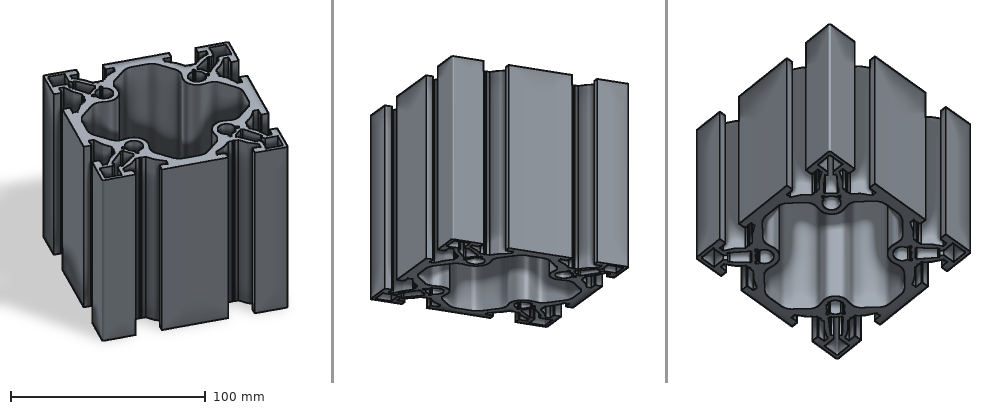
import cadquery as cq
import math

side = 100.0
length = 100.0
half_side = side / 2

corner_radius = 1.0
face_relief = 0.1
middle_strip_half_width = 8.1
middle_strip_relief = 0.2

slot_offset = 25.0
opening_half_width = 7.1
lip_thickness = 4.4
lip_chamfer = 0.5
undercut_half_width = 11.6
undercut_depth = 6.9
bend_half_width = 6.2
bend_depth = 10.2
floor_half_width = 2.7
floor_depth = 13.8
centre_groove_half_width = 0.7
centre_groove_depth = 0.4

cavity_half_width = 43.5
cavity_diagonal_reach = 50.8
cavity_corner_radius = 8.0
boss_radius = 7.6
boss_flank_angle = 54.0
boss_blend_radius = 6.5

bore_offset = slot_offset
bore_radius = 4.7
notch_half_width = 0.8
notch_shoulder = 5.8
notch_tip_half_width = 0.3
notch_tip = 6.6

pocket_wall = 2.0
pocket_size = 9.0
pocket_corner_radius = 0.7

channel_start = 6.6
channel_start_half_width = 3.8
channel_start_chamfer = 0.8
channel_end = 19.0
channel_end_half_width = 3.1
channel_end_chamfer_length = 0.9
channel_end_chamfer_width = 0.4
neck_half_width = 1.5
neck_end = 23.0

quarter_turns = [0, 90, 180, 270]
match_tolerance = 0.01


def prism(points):
    return cq.Workplane("XY").polyline(points).close().extrude(length)


def mirrored(half_points):
    """Close a half outline given as (along, across) by mirroring it across its axis."""
    return half_points + [(along, -across) for along, across in reversed(half_points)]


def turned(shape, angle):
    return shape.rotate((0, 0, 0), (0, 0, 1), angle)


def outer_block():
    lip_edge = slot_offset + opening_half_width
    strip_level = half_side - middle_strip_relief
    relieved = half_side - face_relief
    arc_start = half_side - corner_radius
    arc_middle = arc_start + corner_radius / math.sqrt(2)
    face_points = [
        (-arc_start, -half_side),
        (-lip_edge, -relieved),
        (-middle_strip_half_width, -strip_level),
        (middle_strip_half_width, -strip_level),
        (lip_edge, -relieved),
        (arc_start, -half_side),
    ]

    def quarter_turn(point, count):
        x, y = point
        for _ in range(count):
            x, y = -y, x
        return x, y

    outline = cq.Workplane("XY").moveTo(*face_points[0])
    for turn in range(4):
        for point in face_points[1:]:
            outline = outline.lineTo(*quarter_turn(point, turn))
        corner_middle = quarter_turn((arc_middle, -arc_middle), turn)
        corner_end = quarter_turn(face_points[0], turn + 1)
        outline = outline.threePointArc(corner_middle, corner_end)
    return outline.close().extrude(length)


def t_slot():
    """Slot entering from the +X face, centred on the X axis."""
    half_outline = [
        (0, opening_half_width),
        (lip_thickness - lip_chamfer, opening_half_width),
        (lip_thickness, opening_half_width + lip_chamfer),
        (lip_thickness, undercut_half_width),
        (undercut_depth, undercut_half_width),
        (bend_depth, bend_half_width),
        (floor_depth, floor_half_width),
        (floor_depth, centre_groove_half_width),
    ]
    groove_bottom = [(floor_depth + centre_groove_depth, 0)]
    other_half = [(depth, -across) for depth, across in reversed(half_outline)]
    outline = half_outline + groove_bottom + other_half
    return prism([(half_side - depth, across) for depth, across in outline])


def boss():
    """Boss in the +X+Y corner: a round facing the centre, with two flanks spreading outward."""
    flank = math.radians(boss_flank_angle)
    tangent_along = -boss_radius * math.cos(flank)
    tangent_across = boss_radius * math.sin(flank)
    root_along = boss_radius
    root_across = tangent_across + (root_along - tangent_along) / math.tan(flank)
    flanks = prism(mirrored([(tangent_along, tangent_across), (root_along, root_across)]))
    round_part = cq.Workplane("XY").circle(boss_radius).extrude(length)
    return turned(round_part.union(flanks), 45).translate((bore_offset, bore_offset, 0))


def central_cavity():
    width = 2 * cavity_half_width
    slanted_width = cavity_diagonal_reach * math.sqrt(2)
    square = cq.Workplane("XY").rect(width, width).extrude(length)
    diamond = turned(cq.Workplane("XY").rect(slanted_width, slanted_width).extrude(length), 45)
    cavity = square.intersect(diamond).edges("|Z").fillet(cavity_corner_radius)
    corner_boss = boss()
    for angle in quarter_turns:
        cavity = cavity.cut(turned(corner_boss, angle))

    def at_flank_foot(edge):
        x, y = abs(edge.Center().x), abs(edge.Center().y)
        on_slanted_wall = abs(x + y - cavity_diagonal_reach) < match_tolerance
        clear_of_flat_walls = max(x, y) < cavity_half_width - cavity_corner_radius
        return on_slanted_wall and clear_of_flat_walls

    return cavity.edges("|Z").filter(at_flank_foot).fillet(boss_blend_radius)


def screw_bore():
    """Bore about the origin, notched towards +X and +Y."""
    notch = prism(mirrored([
        (0, notch_half_width),
        (notch_shoulder, notch_half_width),
        (notch_tip, notch_tip_half_width),
    ]))
    bore = cq.Workplane("XY").circle(bore_radius).extrude(length)
    return bore.union(notch).union(turned(notch, 90))


def diagonal_channel():
    """Channel running outward from near the origin along the +X+Y diagonal."""
    channel = prism(mirrored([
        (channel_start, channel_start_half_width - channel_start_chamfer),
        (channel_start + channel_start_chamfer, channel_start_half_width),
        (channel_end - channel_end_chamfer_length, channel_end_half_width),
        (channel_end, channel_end_half_width - channel_end_chamfer_width),
        (channel_end, neck_half_width),
        (neck_end, neck_half_width),
    ]))
    return turned(channel, 45)


def corner_voids():
    """Bore, channel and pocket in the +X+Y corner."""
    pocket_centre = half_side - pocket_wall - pocket_size / 2
    pocket = cq.Workplane("XY").center(pocket_centre, pocket_centre).rect(pocket_size, pocket_size)
    pocket = pocket.extrude(length)
    pocket = pocket.edges(">(1, 1, 0)").fillet(pocket_corner_radius)
    bore_position = (bore_offset, bore_offset, 0)
    channel = diagonal_channel().translate(bore_position)
    bore = screw_bore().translate(bore_position)
    return pocket.union(channel), bore


result = outer_block().cut(central_cavity())
slot = t_slot()
pocket_and_channel, bore = corner_voids()
for angle in quarter_turns:
    for offset in (-slot_offset, slot_offset):
        result = result.cut(turned(slot.translate((0, offset, 0)), angle))
    result = result.cut(turned(pocket_and_channel, angle))
    result = result.cut(turned(bore, angle))